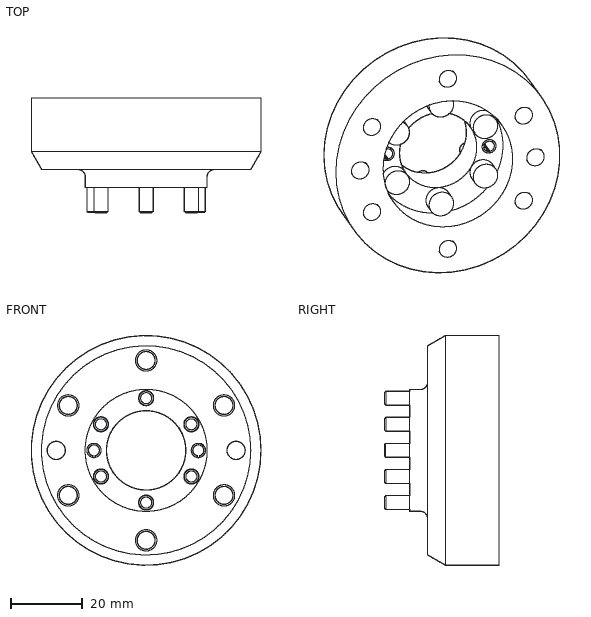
import cadquery as cq
import math

outer_diameter = 64.0
flange_depth = 20.0
rim_length = 15.0
front_face_diameter = 58.25
boss_diameter = 34.0
boss_height = 5.0
boss_depth = flange_depth + boss_height
boss_fillet = 2.0
bore_diameter = 22.0
recess_diameter = 37.0
recess_depth = 12.0

hole_circle_radius = 25.0
mounting_hole_count = 6
mounting_hole_diameter = 4.9
mounting_chamfer = 0.5
dowel_hole_diameter = 5.0

fastener_circle_radius = 14.5
fastener_tip_depth = 32.0
screw_tip_chamfer = 0.45
screw_count = 6
screw_diameter = 4.0
screw_hole_diameter = 4.2
screw_head_diameter = 7.0
screw_head_height = 4.0
spring_pin_diameter = 4.0
spring_pin_bore = 3.0
spring_pin_slit = 0.5
spring_pin_tip_length = 0.6
spring_pin_tip_inset = 0.3

top_angle = 90.0
side_angles = (0.0, 180.0)


def ring_points(radius, angles):
    """Return (x, z) points on a circle about the Y axis."""
    return [
        (radius * math.cos(math.radians(angle)), radius * math.sin(math.radians(angle)))
        for angle in angles
    ]


def even_angles(count):
    """Return evenly spaced angles that start at the top."""
    return [top_angle + index * 360.0 / count for index in range(count)]


def cylinder(point, diameter, rear_depth, front_depth):
    """Return a cylinder along -Y between two depths in front of the rear face."""
    return (
        cq.Workplane("XZ", origin=(point[0], -rear_depth, point[1]))
        .circle(diameter / 2)
        .extrude(front_depth - rear_depth)
    )


mounting_points = ring_points(hole_circle_radius, even_angles(mounting_hole_count))
dowel_points = ring_points(hole_circle_radius, side_angles)
screw_points = ring_points(fastener_circle_radius, even_angles(screw_count))
spring_pin_points = ring_points(fastener_circle_radius, side_angles)


def make_flange_blank():
    """Revolve the bored and recessed flange with its filleted front boss."""
    outer = outer_diameter / 2
    boss = boss_diameter / 2
    bore = bore_diameter / 2
    recess = recess_diameter / 2
    return (
        cq.Workplane("XY")
        .moveTo(recess, 0)
        .lineTo(outer, 0)
        .lineTo(outer, -rim_length)
        .lineTo(front_face_diameter / 2, -flange_depth)
        .lineTo(boss + boss_fillet, -flange_depth)
        .radiusArc((boss, -flange_depth - boss_fillet), -boss_fillet)
        .lineTo(boss, -boss_depth)
        .lineTo(bore, -boss_depth)
        .lineTo(bore, -recess_depth)
        .lineTo(recess, -recess_depth)
        .close()
        .revolve(360, (0, 0, 0), (0, 1, 0))
    )


def make_mounting_hole(point):
    """Return the cutter for a through hole with a chamfered front edge."""
    hole = cylinder(point, mounting_hole_diameter, 0, flange_depth)
    rim_plane = cq.Workplane("XZ", origin=(point[0], -flange_depth, point[1]))
    countersink = rim_plane.circle(mounting_hole_diameter / 2 + mounting_chamfer).extrude(
        -mounting_chamfer, taper=45
    )
    return hole.union(countersink)


def make_flange():
    """Drill the flange for its mounting holes, dowels, screws and spring pins."""
    flange = make_flange_blank()
    for point in mounting_points:
        flange = flange.cut(make_mounting_hole(point))
    for point in dowel_points:
        flange = flange.cut(cylinder(point, dowel_hole_diameter, 0, flange_depth))
    for point in screw_points:
        flange = flange.cut(cylinder(point, screw_hole_diameter, recess_depth, boss_depth))
    for point in spring_pin_points:
        flange = flange.cut(cylinder(point, spring_pin_diameter, recess_depth, boss_depth))
    return flange


def make_screw(point):
    """Return a screw whose head sits on the recess floor."""
    shank = cylinder(point, screw_diameter, recess_depth, fastener_tip_depth)
    shank = shank.faces("<Y").chamfer(screw_tip_chamfer)
    head = cylinder(point, screw_head_diameter, recess_depth - screw_head_height, recess_depth)
    return shank.union(head)


def make_spring_pin(point):
    """Return a rolled tube with a slit along its lower side."""
    tube = cylinder(point, spring_pin_diameter, recess_depth, fastener_tip_depth)
    tube = tube.faces("<Y").chamfer(spring_pin_tip_inset, spring_pin_tip_length)
    tube = tube.cut(cylinder(point, spring_pin_bore, recess_depth, fastener_tip_depth))
    slit = (
        cq.Workplane("XY")
        .box(spring_pin_slit, fastener_tip_depth, spring_pin_diameter, centered=(True, False, False))
        .translate((point[0], -fastener_tip_depth, point[1] - spring_pin_diameter))
    )
    return tube.cut(slit)


flange = make_flange()
screws = [make_screw(point) for point in screw_points]
spring_pins = [make_spring_pin(point) for point in spring_pin_points]

result = cq.Compound.makeCompound(
    [flange.val()]
    + [screw.val() for screw in screws]
    + [spring_pin.val() for spring_pin in spring_pins]
)